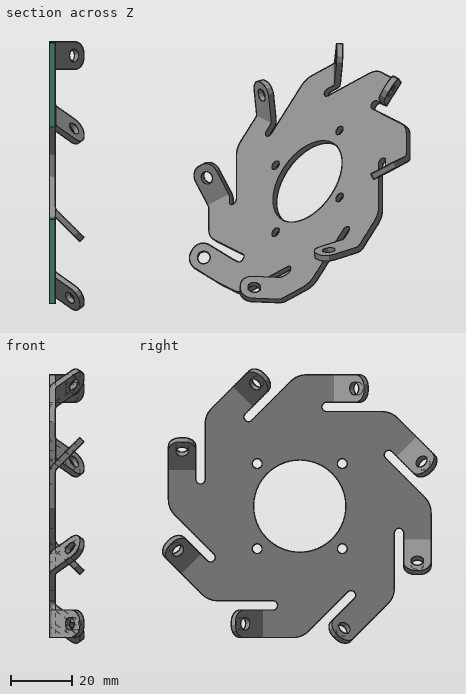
import cadquery as cq
import math

thickness = 2.0
bore_diameter = 30.0
bolt_hole_diameter = 3.1
bolt_hole_spacing = 27.7

arm_count = 8
arm_pitch = 360 / arm_count
arm_outer_edge = 42.85
arm_width = 9.0
arm_inner_edge = arm_outer_edge - arm_width
arm_middle = (arm_outer_edge + arm_inner_edge) / 2
shoulder_radius = 7.2

slot_width = 2.95
slot_inner_edge = arm_inner_edge - slot_width
slot_middle = (arm_inner_edge + slot_inner_edge) / 2
slot_end = 7.25
slot_round_start = slot_end + slot_width / 2

bend_start = 10.9
bend_angle = 45
bend_inner_radius = 1.8
bend_outer_radius = bend_inner_radius + thickness
tab_corner_radius = 4.0
tab_hole_diameter = 4.1
tab_hole_from_tip = 4.6
overall_depth = 11.3

bend_sin = math.sin(math.radians(bend_angle))
bend_cos = math.cos(math.radians(bend_angle))
bend_depth = bend_outer_radius * (1 - bend_cos)
tab_length = (overall_depth - bend_depth - thickness * bend_cos) / bend_sin


def rotated(y, z, arm):
    """Point of the first arm, moved to the given arm."""
    angle = math.radians(arm * arm_pitch)
    return (
        y * math.cos(angle) - z * math.sin(angle),
        y * math.sin(angle) + z * math.cos(angle),
    )


def make_plate():
    """Pinwheel plate whose arms stop at their bend lines."""
    pitch = math.radians(arm_pitch)
    shoulder_on_slot = (arm_outer_edge - slot_inner_edge * math.cos(pitch)) / math.sin(pitch)
    shoulder_on_edge = (arm_outer_edge * math.cos(pitch) - slot_inner_edge) / math.sin(pitch)
    tangent_length = shoulder_radius * math.tan(pitch / 2)

    outline = cq.Workplane("YZ").moveTo(bend_start, arm_outer_edge)
    for arm in range(arm_count, 0, -1):
        following = arm - 1
        outline = (
            outline.lineTo(*rotated(bend_start, arm_inner_edge, arm))
            .lineTo(*rotated(slot_round_start, arm_inner_edge, arm))
            .threePointArc(
                rotated(slot_end, slot_middle, arm),
                rotated(slot_round_start, slot_inner_edge, arm),
            )
            .lineTo(*rotated(shoulder_on_slot - tangent_length, slot_inner_edge, arm))
            .tangentArcPoint(
                rotated(shoulder_on_edge + tangent_length, arm_outer_edge, following),
                relative=False,
            )
            .lineTo(*rotated(bend_start, arm_outer_edge, following))
        )
    return outline.close().extrude(thickness)


def make_tab():
    """Bend and drilled tab of the first arm."""
    bend = (
        cq.Workplane("XZ", origin=(0, bend_start, arm_middle))
        .center(thickness / 2, 0)
        .rect(thickness, arm_width)
        .revolve(
            bend_angle,
            (bend_outer_radius - thickness / 2, 0),
            (bend_outer_radius - thickness / 2, -1),
        )
    )
    tab_plane = cq.Plane(
        origin=(bend_depth, bend_start + bend_outer_radius * bend_sin, arm_middle),
        xDir=(bend_sin, bend_cos, 0),
        normal=(bend_cos, -bend_sin, 0),
    )
    flat = (
        cq.Workplane(tab_plane)
        .center(tab_length / 2, 0)
        .rect(tab_length, arm_width)
        .extrude(thickness)
    )
    tip_corners = cq.selectors.ParallelDirSelector(tab_plane.zDir)
    flat = flat.edges(tip_corners).edges(">Y").fillet(tab_corner_radius)
    hole = (
        cq.Workplane(tab_plane)
        .center(tab_length - tab_hole_from_tip, 0)
        .circle(tab_hole_diameter / 2)
        .extrude(thickness)
    )
    return bend.union(flat.cut(hole))


def cut_centre_holes(body):
    """Central bore and the square of four bolt holes around it."""
    return (
        body.faces("<X")
        .workplane(origin=(0, 0, 0))
        .circle(bore_diameter / 2)
        .cutThruAll()
        .faces("<X")
        .workplane(origin=(0, 0, 0))
        .rect(bolt_hole_spacing, bolt_hole_spacing, forConstruction=True)
        .vertices()
        .circle(bolt_hole_diameter / 2)
        .cutThruAll()
    )


result = cut_centre_holes(make_plate())
tab = make_tab()
for arm in range(arm_count):
    result = result.union(tab.rotate((0, 0, 0), (1, 0, 0), arm * arm_pitch))